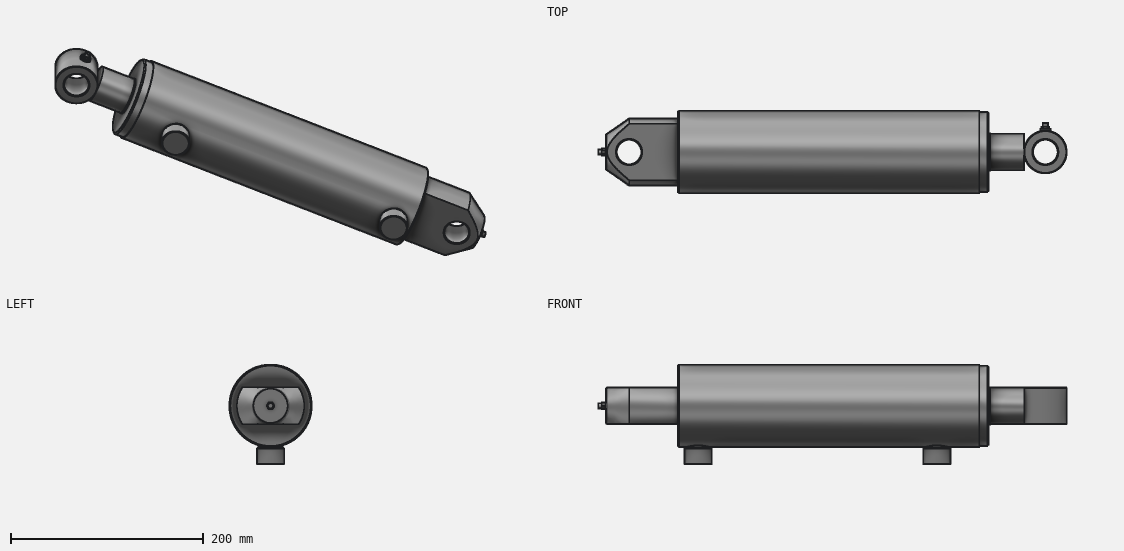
import cadquery as cq
import math


inch = 25.4
pin_centres = 17 * inch
pin_hole_diameter = 1 * inch
pin_hole_chamfer = 1
mount_thickness = 1.5 * inch

clevis_diameter = 2.75 * inch
clevis_nose_x = -24.1
clevis_nose_diameter = mount_thickness
nose_chamfer = 1.3

barrel_diameter = 3.375 * inch
barrel_start_x = 50.6
barrel_length = 312.7
barrel_chamfer = 1.2
gland_diameter = 83.5
gland_length = 9.6
gland_chamfer = 1.5
wiper_diameter = 39
wiper_length = 1.5

port_diameter = 28.6
port_neck_diameter = 25.4
port_neck_edge_z = -44.6
port_bottom_z = -60.85
port_chamfer = 0.8
port_setback = 21
port_spacing = 247.6

rod_diameter = 1.5 * inch
eye_diameter = 1.75 * inch
eye_weld_overlap = 0.3
eye_edge_chamfer = 0.6
eye_boss_diameter = 10.8
eye_boss_height = 2

nipple_height = 7.9
nipple_tip_diameter = 5.6
nipple_tip_length = 3.7
nipple_hex_flats = 7
nipple_seat_depth = 3
nipple_shank_diameter = 6

barrel_end_x = barrel_start_x + barrel_length
gland_end_x = barrel_end_x + gland_length
wiper_end_x = gland_end_x + wiper_length
rod_tip_x = pin_centres - eye_diameter / 2 + eye_weld_overlap


def cylinder_x(start_x, end_x, diameter):
    """Cylinder on the X axis between two stations."""
    return cq.Workplane("YZ", origin=(start_x, 0, 0)).circle(diameter / 2).extrude(end_x - start_x)


def pin_hole(centre_x):
    """Cutter for a vertical pin hole through a mount, with both mouths chamfered."""
    radius = pin_hole_diameter / 2
    mouth_radius = radius + pin_hole_chamfer
    face_z = mount_thickness / 2
    chamfer_z = face_z - pin_hole_chamfer
    return (
        cq.Workplane("XZ", origin=(centre_x, 0, 0))
        .moveTo(0, -face_z)
        .lineTo(mouth_radius, -face_z)
        .lineTo(radius, -chamfer_z)
        .lineTo(radius, chamfer_z)
        .lineTo(mouth_radius, face_z)
        .lineTo(0, face_z)
        .close()
        .revolve(360, (0, 0, 0), (0, 1, 0))
    )


def make_clevis():
    """Round tongue with a conical nose, flattened to the mount thickness and cross-drilled."""
    nose_radius = clevis_nose_diameter / 2
    tongue = (
        cq.Workplane("XY")
        .moveTo(clevis_nose_x, 0)
        .lineTo(clevis_nose_x, nose_radius - nose_chamfer)
        .lineTo(clevis_nose_x + nose_chamfer, nose_radius)
        .lineTo(0, clevis_diameter / 2)
        .lineTo(barrel_start_x, clevis_diameter / 2)
        .lineTo(barrel_start_x, 0)
        .close()
        .revolve(360, (0, 0, 0), (1, 0, 0))
    )
    slab = cq.Workplane("XY").box(2 * barrel_start_x, barrel_diameter, mount_thickness)
    return tongue.intersect(slab).cut(pin_hole(0))


def make_port(centre_x):
    """Port stub under the barrel, coned in where it meets the barrel."""
    radius = port_diameter / 2
    neck_radius = port_neck_diameter / 2
    neck_z = port_neck_edge_z + radius - neck_radius
    top_z = -barrel_diameter / 4
    return (
        cq.Workplane("XZ", origin=(centre_x, 0, 0))
        .moveTo(0, port_bottom_z)
        .lineTo(radius - port_chamfer, port_bottom_z)
        .lineTo(radius, port_bottom_z + port_chamfer)
        .lineTo(radius, port_neck_edge_z)
        .lineTo(neck_radius, neck_z)
        .lineTo(neck_radius, top_z)
        .lineTo(0, top_z)
        .close()
        .revolve(360, (0, 0, 0), (0, 1, 0))
    )


def make_nipple(seat, direction, corner_direction):
    """Grease nipple: shank below the seat, hexagon and round tip above it."""
    plane = cq.Plane(origin=seat, xDir=corner_direction, normal=direction)
    hex_height = nipple_height - nipple_tip_length
    hex_corners = nipple_hex_flats / math.cos(math.pi / 6)
    shank = cq.Workplane(plane).circle(nipple_shank_diameter / 2).extrude(-nipple_seat_depth)
    hexagon = cq.Workplane(plane).polygon(6, hex_corners).extrude(hex_height)
    tip = cq.Workplane(plane).circle(nipple_tip_diameter / 2).extrude(nipple_height)
    return hexagon.union(tip).union(shank)


nipple_seats = [
    ((clevis_nose_x, 0, 0), (-1, 0, 0), (0, 1, 0)),
    ((pin_centres, eye_diameter / 2, 0), (0, 1, 0), (1, 0, 0)),
]
nipples = [make_nipple(*seat) for seat in nipple_seats]
clevis_nipple, eye_nipple = nipples

rod = cylinder_x(barrel_end_x, rod_tip_x, rod_diameter)
eye = cq.Workplane("XY", origin=(pin_centres, 0, -mount_thickness / 2))
eye = eye.circle(eye_diameter / 2).extrude(mount_thickness).faces("<Z or >Z").chamfer(eye_edge_chamfer)
eye_boss = cq.Workplane("XZ", origin=(pin_centres, 0, 0)).circle(eye_boss_diameter / 2)
eye_boss = eye_boss.extrude(-(eye_diameter / 2 + eye_boss_height))
rod = rod.union(eye).union(eye_boss).cut(pin_hole(pin_centres)).cut(eye_nipple)

barrel = cylinder_x(barrel_start_x, barrel_end_x, barrel_diameter)
barrel = barrel.faces("<X").chamfer(barrel_chamfer)
gland = cylinder_x(barrel_end_x, gland_end_x, gland_diameter)
gland = gland.faces(">X").chamfer(gland_chamfer)
wiper = cylinder_x(gland_end_x, wiper_end_x, wiper_diameter)
barrel = barrel.union(gland).union(wiper).union(make_clevis())
for port_index in range(2):
    port_x = barrel_start_x + port_setback + port_index * port_spacing
    barrel = barrel.union(make_port(port_x))
rod_bore = cylinder_x(barrel_end_x, wiper_end_x, rod_diameter)
barrel = barrel.cut(rod_bore).cut(clevis_nipple)

result = cq.Compound.makeCompound(
    [barrel.val(), rod.val(), *[nipple.val() for nipple in nipples]]
)